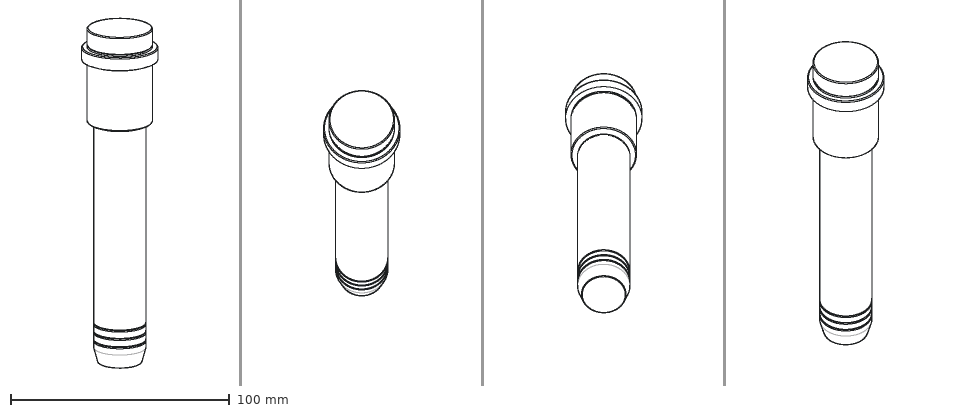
import cadquery as cq
import math

total_length = 160.0
head_length = 9.0
flange_thickness = 6.0
sleeve_length = 30.0

body_radius = 15.0
flange_radius = 17.5
shank_radius = 12.0

head_chamfer = 0.5
flange_chamfer = 0.5
sleeve_chamfer = 0.5
tip_chamfer = 0.3

v_groove_width = 1.0
flange_groove_depth = 0.5
tip_groove_depth = 0.25
tip_groove_centers = (10.5, 14.5, 18.5)

shank_relief_width = 1.0
shank_relief_depth = 0.5

tip_length = 7.0
tip_half_angle = math.radians(15.0)

flange_top = total_length - head_length
flange_bottom = flange_top - flange_thickness
sleeve_bottom = flange_bottom - sleeve_length


def make_cylinder(radius, bottom, top):
    return cq.Workplane("XY").workplane(offset=bottom).circle(radius).extrude(top - bottom)


def make_tip():
    """Cone that narrows from the shank to the tip face, with a broken tip edge."""
    end_radius = shank_radius - tip_length * math.tan(tip_half_angle)
    tip = cq.Workplane(obj=cq.Solid.makeCone(end_radius, shank_radius, tip_length))
    return tip.faces("<Z").chamfer(tip_chamfer)


def make_shank():
    return make_cylinder(shank_radius, tip_length, sleeve_bottom)


def make_body():
    """Sleeve and head as one cylinder with broken end edges."""
    body = make_cylinder(body_radius, sleeve_bottom, total_length)
    body = body.faces("<Z").chamfer(sleeve_chamfer)
    return body.faces(">Z").chamfer(head_chamfer)


def make_flange():
    """Collar with its upper rim chamfered."""
    flange = make_cylinder(flange_radius, flange_bottom, flange_top)
    return flange.faces(">Z").chamfer(flange_chamfer)


def cut_v_groove(part, radius, depth, center):
    """Cut a V-groove around a cylinder of the given radius."""
    half_width = v_groove_width / 2
    ring = make_cylinder(radius, center - half_width, center + half_width)
    root_radius = radius - depth
    lower_start = cq.Vector(0, 0, center - half_width)
    upper_start = cq.Vector(0, 0, center)
    lower_cone = cq.Solid.makeCone(radius, root_radius, half_width, lower_start)
    upper_cone = cq.Solid.makeCone(root_radius, radius, half_width, upper_start)
    return part.cut(ring.cut(cq.Workplane(obj=lower_cone)).cut(cq.Workplane(obj=upper_cone)))


def cut_flange_reliefs(part):
    for center in (flange_top + v_groove_width / 2, flange_bottom - v_groove_width / 2):
        part = cut_v_groove(part, body_radius, flange_groove_depth, center)
    return part


def cut_shank_relief(part):
    bottom = sleeve_bottom - shank_relief_width
    ring = make_cylinder(shank_radius, bottom, sleeve_bottom)
    core = make_cylinder(shank_radius - shank_relief_depth, bottom, sleeve_bottom)
    return part.cut(ring.cut(core))


def cut_tip_grooves(part):
    for center in tip_groove_centers:
        part = cut_v_groove(part, shank_radius, tip_groove_depth, center)
    return part


result = make_tip().union(make_shank()).union(make_body()).union(make_flange())
result = cut_flange_reliefs(result)
result = cut_shank_relief(result)
result = cut_tip_grooves(result)